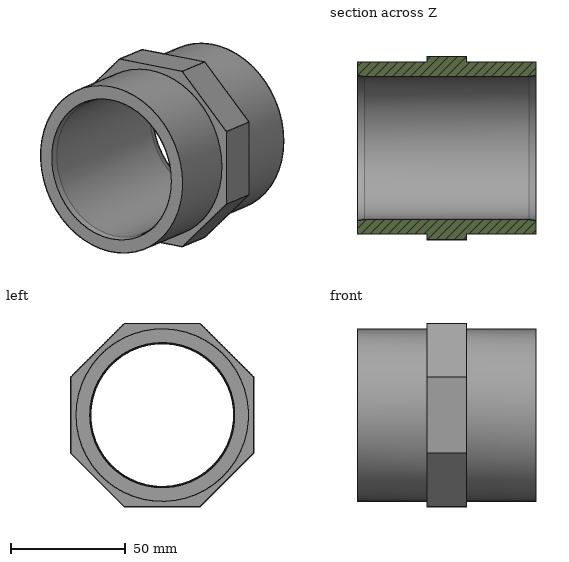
import cadquery as cq

length = 78.0
body_diameter = 75.3
collar_across_flats = 80.0
collar_width = 17.4
bore_diameter = 62.3
mouth_diameter = 63.4
mouth_depth = 3.0
collar_sides = 8


def cylinder(diameter, width):
    """Solid cylinder along X, centred on the origin."""
    return cq.Workplane("YZ").circle(diameter / 2).extrude(width / 2, both=True)


def octagonal_collar():
    """Central wrench collar with flats facing Y and Z."""
    return (
        cq.Workplane("YZ", origin=(-collar_width / 2, 0, 0))
        .polygon(collar_sides, collar_across_flats, circumscribed=True)
        .extrude(collar_width)
    )


def tapered_bore():
    """Through bore with a slight conical lead-in at each end."""
    half_length = length / 2
    bore_end = half_length - mouth_depth
    return (
        cq.Workplane("XY")
        .moveTo(-half_length, 0)
        .lineTo(-half_length, mouth_diameter / 2)
        .lineTo(-bore_end, bore_diameter / 2)
        .lineTo(bore_end, bore_diameter / 2)
        .lineTo(half_length, mouth_diameter / 2)
        .lineTo(half_length, 0)
        .close()
        .revolve(360, (0, 0, 0), (1, 0, 0))
    )


body = cylinder(body_diameter, length)
result = body.union(octagonal_collar()).cut(tapered_bore())